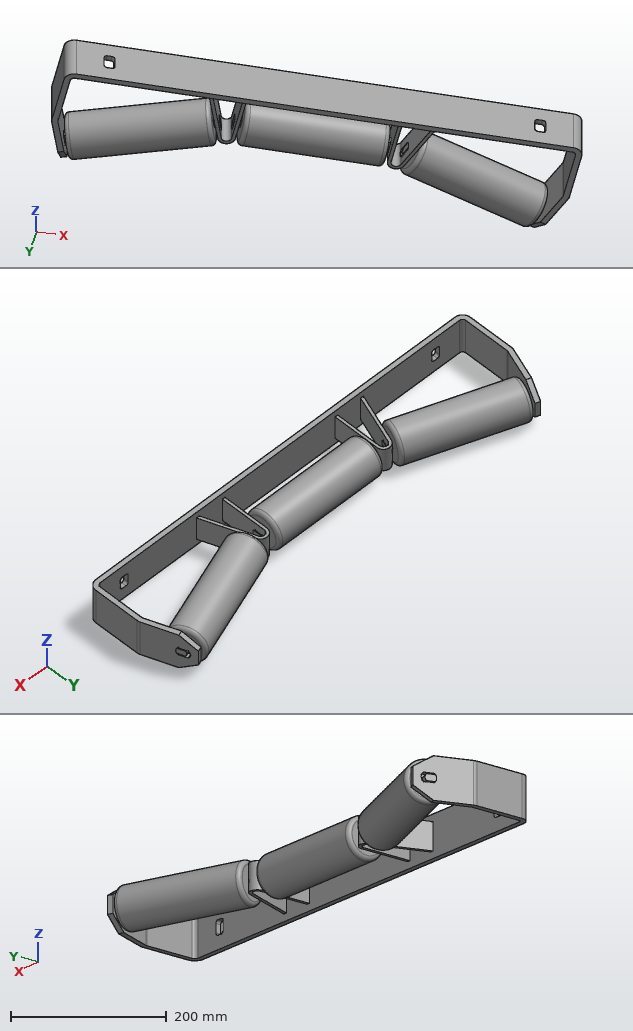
import cadquery as cq
import math

frame_length = 680.0
strip_height = 61.0
strip_thickness = 8.0
bend_radius = 13.5
arm_angle = 20.0
arm_bend_y = 91.0
arm_tip_position = 54.5
tip_chamfer_length = 28.0
tip_chamfer_height = 18.0

mount_slot_spacing = 566.0
mount_slot_width = 14.0
mount_slot_length = 21.0
mount_slot_corner_radius = 4.0

roller_diameter = 62.0
roller_length = 190.5
roller_edge_radius = 6.0
shaft_diameter = 15.5
shaft_flats = 9.5
center_axis_y = 71.5
side_axis_position = 30.0

bracket_thickness = 5.0
bracket_height = 40.0
bracket_bend_radius = 11.5
bracket_inner_x = 100.0
bracket_top_y = 96.0

shaft_slot_width = 13.0
shaft_slot_length = 21.0

sin_arm = math.sin(math.radians(arm_angle))
cos_arm = math.cos(math.radians(arm_angle))
half_length = frame_length / 2
bracket_bend_x = -(bracket_inner_x + bracket_bend_radius)
bracket_bend_y = bracket_top_y - bracket_bend_radius

left_plane = cq.Plane(origin=(0, 0, 0), xDir=(sin_arm, cos_arm, 0), normal=(-cos_arm, sin_arm, 0))
center_plane = cq.Plane(origin=(0, 0, 0), xDir=(0, 1, 0), normal=(1, 0, 0))


def tilted_point(along_arm, outward):
    """XY point of the left side given in the directions of the tilted plane."""
    return (along_arm * sin_arm - outward * cos_arm, along_arm * cos_arm + outward * sin_arm)


arm_outer_face = half_length * cos_arm + arm_bend_y * sin_arm
arm_inner_face = arm_outer_face - strip_thickness
leg_outer_face = bracket_bend_y * sin_arm - bracket_bend_x * cos_arm + bracket_bend_radius
leg_inner_face = leg_outer_face - bracket_thickness
side_roller_middle = (leg_outer_face + arm_inner_face) / 2


def mirror_to_right(body):
    return body.mirror("YZ")


def plane_at(plane, height):
    """Workplane on a plane moved along its normal."""
    return cq.Workplane(plane).workplane(offset=height)


def shaft_slot(plane, start, end, axis_position):
    """Straight-sided slot with rounded ends for a shaft end, which rests against the lower end."""
    shaft_radius = shaft_diameter / 2
    middle = axis_position - shaft_radius + shaft_slot_length / 2
    base = plane_at(plane, start).center(middle, 0)
    rounded = base.slot2D(shaft_slot_length, shaft_diameter).extrude(end - start)
    straight = base.rect(shaft_slot_length, shaft_slot_width).extrude(end - start)
    return rounded.intersect(straight)


def frame_half():
    """Left half of the frame, from the middle of the base to the tip of the arm."""
    inner_x = -half_length + strip_thickness
    inner_bend_y = arm_bend_y - strip_thickness * math.tan(math.radians(arm_angle / 2))
    outer_corner = (-half_length, 0)
    outer_bend = (-half_length, arm_bend_y)
    inner_bend = (inner_x, inner_bend_y)
    inner_corner = (inner_x, strip_thickness)
    half = (
        cq.Workplane("XY")
        .polyline([
            (0, 0),
            outer_corner,
            outer_bend,
            tilted_point(arm_tip_position, arm_outer_face),
            tilted_point(arm_tip_position, arm_inner_face),
            inner_bend,
            inner_corner,
            (0, strip_thickness),
        ])
        .close()
        .extrude(strip_height / 2, both=True)
    )
    inner_radius = bend_radius - strip_thickness
    bends = [
        (outer_corner, bend_radius),
        (outer_bend, bend_radius),
        (inner_bend, inner_radius),
        (inner_corner, inner_radius),
    ]
    for (x, y), radius in bends:
        half = half.edges("|Z").edges(cq.NearestToPointSelector((x, y, 0))).fillet(radius)

    for side in (-1, 1):
        half = half.cut(tip_corner(side))

    half = half.cut(shaft_slot(left_plane, arm_inner_face, arm_outer_face, side_axis_position))
    return half.cut(mount_slot())


def tip_corner(side):
    """Wedge that chamfers the upper (side 1) or lower (side -1) corner of the arm tip."""
    edge = side * strip_height / 2
    return (
        plane_at(left_plane, arm_inner_face)
        .polyline([
            (arm_tip_position, edge),
            (arm_tip_position - tip_chamfer_length, edge),
            (arm_tip_position, edge - side * tip_chamfer_height),
        ])
        .close()
        .extrude(strip_thickness)
    )


def mount_slot():
    """Upright slot through the base strip."""
    upright_plane = cq.Plane(origin=(-mount_slot_spacing / 2, 0, 0), xDir=(0, 0, 1), normal=(0, 1, 0))
    return (
        cq.Workplane(upright_plane)
        .rect(mount_slot_length, mount_slot_width)
        .extrude(strip_thickness)
        .edges("|Y")
        .fillet(mount_slot_corner_radius)
    )


def make_frame():
    left_half = frame_half()
    return left_half.union(mirror_to_right(left_half))


def make_left_bracket():
    """Strap with an upright leg, a rounded top and a leg leaning parallel to the arm."""
    inner_radius = bracket_bend_radius - bracket_thickness
    inner_x = -bracket_inner_x
    outer_x = inner_x - bracket_thickness

    def bend_point(radius, angle):
        radians = math.radians(angle)
        return (bracket_bend_x + radius * math.cos(radians), bracket_bend_y + radius * math.sin(radians))

    def leg_foot(face):
        """Point of a leaning-leg face at the top of the base strip."""
        along_leg = (strip_thickness - face * sin_arm) / cos_arm
        return tilted_point(along_leg, face)

    lean_start = 180 - arm_angle
    bend_middle = lean_start / 2
    bracket = (
        cq.Workplane("XY")
        .moveTo(inner_x, strip_thickness)
        .lineTo(inner_x, bracket_bend_y)
        .threePointArc(
            bend_point(bracket_bend_radius, bend_middle),
            bend_point(bracket_bend_radius, lean_start),
        )
        .lineTo(*leg_foot(leg_outer_face))
        .lineTo(*leg_foot(leg_inner_face))
        .lineTo(*bend_point(inner_radius, lean_start))
        .threePointArc(bend_point(inner_radius, bend_middle), (outer_x, bracket_bend_y))
        .lineTo(outer_x, strip_thickness)
        .close()
        .extrude(bracket_height / 2, both=True)
    )
    bracket = bracket.cut(shaft_slot(center_plane, outer_x, inner_x, center_axis_y))
    return bracket.cut(shaft_slot(left_plane, leg_inner_face, leg_outer_face, side_axis_position))


def make_shaft(plane, axis_position, start, end):
    """Round rod with two flats facing up and down."""
    base = plane_at(plane, start).center(axis_position, 0)
    rod = base.circle(shaft_diameter / 2).extrude(end - start)
    limit = base.rect(shaft_diameter, shaft_flats).extrude(end - start)
    return rod.intersect(limit)


def make_roller(plane, axis_position, middle, shaft_start, shaft_end):
    """Roller along local z with flattened shaft ends reaching from shaft_start to shaft_end."""
    barrel_start = middle - roller_length / 2
    barrel = (
        plane_at(plane, barrel_start)
        .center(axis_position, 0)
        .circle(roller_diameter / 2)
        .extrude(roller_length)
        .edges()
        .fillet(roller_edge_radius)
    )
    shaft = make_shaft(plane, axis_position, shaft_start, shaft_end)
    return barrel.union(shaft)


frame = make_frame()
left_bracket = make_left_bracket()
shaft_reach = bracket_inner_x + bracket_thickness
center_roller = make_roller(center_plane, center_axis_y, 0, -shaft_reach, shaft_reach)
left_roller = make_roller(
    left_plane, side_axis_position, side_roller_middle, leg_inner_face, arm_outer_face
)

brackets = [left_bracket, mirror_to_right(left_bracket)]
rollers = [left_roller, center_roller, mirror_to_right(left_roller)]
result = cq.Compound.makeCompound([body.val() for body in [frame, *brackets, *rollers]])